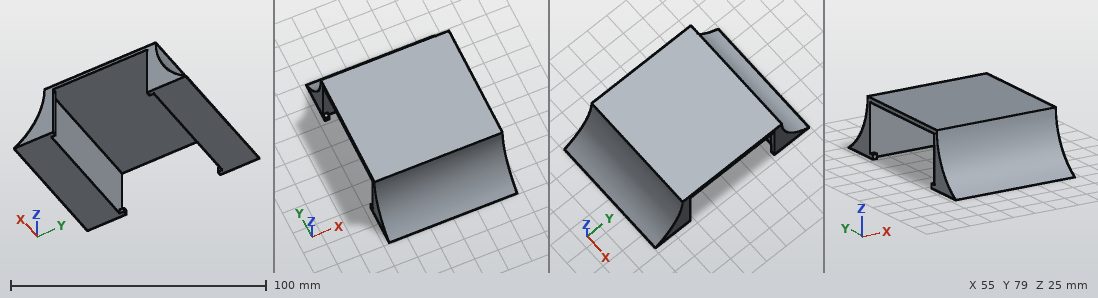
import cadquery as cq
import math

length = 55.0
base_width = 79.0
top_width = 51.0
height = 25.0
wall = 2.0
lip = 2.0

half_base = base_width / 2
half_top = top_width / 2
half_inner = half_top - wall
ceiling = height - wall

flare = half_base - half_top
flank_radius = (height**2 + flare**2) / (2 * flare)
arc_mid_angle = math.asin(height / flank_radius) / 2
mid_y = half_top + flank_radius * (1 - math.cos(arc_mid_angle))
mid_z = height - flank_radius * math.sin(arc_mid_angle)


def make_cover():
    """Constant channel section with flared sides, extruded along X."""
    return (
        cq.Workplane("YZ", origin=(-length / 2, 0, 0))
        .moveTo(-half_top, height)
        .lineTo(half_top, height)
        .threePointArc((mid_y, mid_z), (half_base, 0))
        .lineTo(half_inner, 0)
        .lineTo(half_inner, ceiling)
        .lineTo(-half_inner, ceiling)
        .lineTo(-half_inner, 0)
        .lineTo(-half_base, 0)
        .threePointArc((-mid_y, mid_z), (-half_top, height))
        .close()
        .extrude(length)
    )


def inner_block(side, x_start, block_height):
    """Block standing inward from one side wall, starting at the base plane."""
    center_y = side * (half_inner - lip / 2)
    return (
        cq.Workplane("XY")
        .box(lip, lip, block_height, centered=(False, True, False))
        .translate((x_start, center_y, 0))
    )


result = make_cover()
for side in (-1, 1):
    result = result.union(inner_block(side, -length / 2, lip))
    result = result.union(inner_block(side, length / 2 - lip, ceiling))